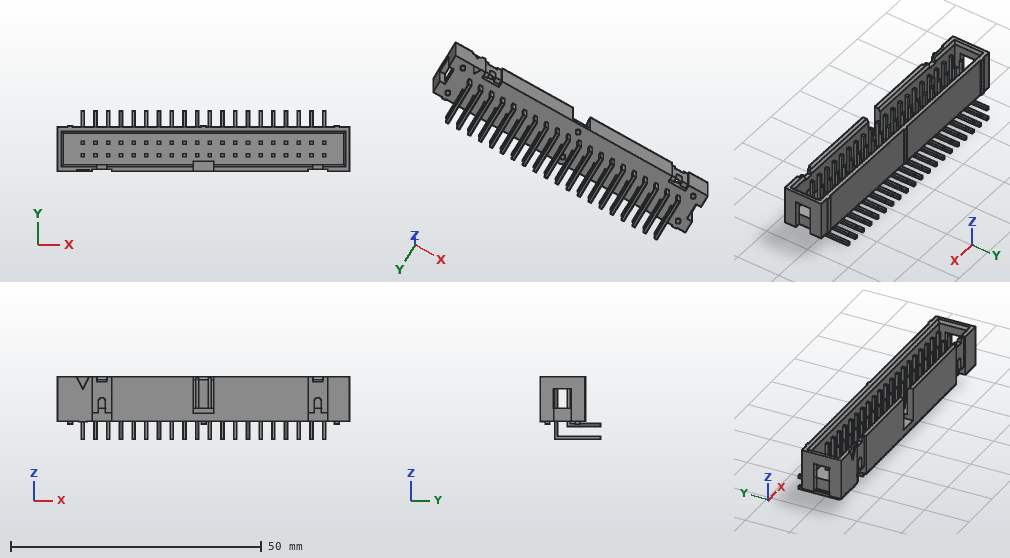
import cadquery as cq
import math


housing_length = 58.4
housing_width = 8.9
housing_height = 8.95
total_width = 12.1
total_height = 12.52

pitch = 2.54
column_count = 20
pin_size = 0.64
pin_top = 8.7

side_wall = 1.35
end_wall = 1.2
floor_height = 2.65
rim_chamfer_width = 0.45
rim_chamfer_depth = 0.65

key_width = 4.0
key_bottom = 1.6
key_depth = 2.0

pocket_centres = [-8 * pitch, 9 * pitch]
pocket_width = 3.9
pocket_depth = 0.4
pocket_undercut_height = 1.75
rim_notch_width = 2.0
rim_notch_depth = 1.0
arch_width = 1.4
arch_top = 4.75

window_width = 3.5
window_top = 6.5

peg_diameter = 1.0
peg_height = 0.55
peg_x = 26.65
peg_y = 3.0
rib_width = 1.0
rib_depth = 0.2

mark_width = 2.5
mark_height = 2.5
mark_depth = 0.3
under_mark_width = 1.7
under_mark_height = 0.1

front_y = -housing_width / 2
back_y = housing_width / 2
first_pin_x = -(column_count - 1) * pitch / 2
tail_end_y = front_y + total_width
lowest_tail_z = housing_height - total_height


def block(x_range, y_range, z_range):
    """Axis-aligned box given by its lower and upper limits."""
    x0, x1 = x_range
    y0, y1 = y_range
    z0, z1 = z_range
    return cq.Workplane("XY").box(x1 - x0, y1 - y0, z1 - z0, centered=False).translate((x0, y0, z0))


def centred(middle, width):
    """Lower and upper limits of a width about its middle."""
    return middle - width / 2, middle + width / 2


def cavity():
    """Open-topped shroud interior with a bevelled rim."""
    length = housing_length - 2 * end_wall
    width = housing_width - 2 * side_wall
    well = block(centred(0, length), centred(0, width), (floor_height, housing_height))
    bevel = (
        cq.Workplane("XY", origin=(0, 0, housing_height - rim_chamfer_depth))
        .rect(length, width)
        .workplane(offset=rim_chamfer_depth)
        .rect(length + 2 * rim_chamfer_width, width + 2 * rim_chamfer_width)
        .loft(ruled=True)
    )
    return well.union(bevel)


def key_slot():
    """Keyway through the front wall, sunk below the cavity floor."""
    return block(centred(0, key_width), (front_y, front_y + key_depth), (key_bottom, housing_height))


def latch_pocket(x):
    """Shallow face pocket with a rim notch, an arched opening and an undercut."""
    wall = (front_y, front_y + side_wall)
    face = block(centred(x, pocket_width), (front_y, front_y + pocket_depth), (0, housing_height))
    notch_range = (housing_height - rim_notch_depth, housing_height)
    notch = block(centred(x, rim_notch_width), wall, notch_range)
    undercut = block(centred(x, pocket_width), wall, (0, pocket_undercut_height))
    radius = arch_width / 2
    spring = arch_top - radius
    arch = (
        cq.Workplane("XZ", origin=(x, front_y, 0))
        .moveTo(-radius, 0)
        .lineTo(-radius, spring)
        .threePointArc((0, arch_top), (radius, spring))
        .lineTo(radius, 0)
        .close()
        .extrude(-side_wall)
    )
    return face.union(notch).union(undercut).union(arch)


def end_window(side):
    """Slot up one end wall, opening into the cavity above its floor."""
    outer = side * housing_length / 2
    inner = outer - side * end_wall
    return block(sorted((outer, inner)), centred(0, window_width), (0, window_top))


def first_contact_groove():
    """Engraved triangle on the front face, pointing down at the first contact."""
    return (
        cq.Workplane("XZ", origin=(first_pin_x, front_y, housing_height))
        .polyline([(-mark_width / 2, 0), (mark_width / 2, 0), (0, -mark_height)])
        .close()
        .extrude(-mark_depth)
    )


def underside_mark():
    """Thin raised triangle under the front edge at the first contact."""
    half = under_mark_width / 2
    return (
        cq.Workplane("XY", origin=(first_pin_x, front_y, 0))
        .polyline([(-half, 0), (half, 0), (0, half * math.sqrt(3))])
        .close()
        .extrude(-under_mark_height)
    )


def back_rib(x):
    """Low full-height rib on the back face."""
    return block(centred(x, rib_width), (back_y, back_y + rib_depth), (0, housing_height))


def peg(x, y):
    """Round standoff under the housing."""
    return cq.Workplane("XY").center(x, y).circle(peg_diameter / 2).extrude(-peg_height)


def contact(x, y, tail_bottom):
    """Square pin bent once: a vertical post and a tail running to the back."""
    post_front = y - pin_size / 2
    post_back = y + pin_size / 2
    tail_top = tail_bottom + pin_size
    return (
        cq.Workplane("YZ", origin=(x - pin_size / 2, 0, 0))
        .moveTo(post_front, tail_bottom)
        .lineTo(tail_end_y, tail_bottom)
        .lineTo(tail_end_y, tail_top)
        .lineTo(post_back, tail_top)
        .lineTo(post_back, pin_top)
        .lineTo(post_front, pin_top)
        .close()
        .extrude(pin_size)
    )


def housing():
    """Plastic shroud with all its cut-outs, pegs, ribs and marks."""
    body = block(centred(0, housing_length), (front_y, back_y), (0, housing_height))
    body = body.cut(cavity()).cut(key_slot()).cut(first_contact_groove())
    for x in pocket_centres:
        body = body.cut(latch_pocket(x))
    for side in (-1, 1):
        body = body.cut(end_window(side))
    for x in (-peg_x, 0, peg_x):
        body = body.union(back_rib(x))
        for y in (-peg_y, peg_y):
            body = body.union(peg(x, y))
    return body.union(underside_mark())


result = housing()
for column in range(column_count):
    pin_x = first_pin_x + column * pitch
    result = result.union(contact(pin_x, -pitch / 2, lowest_tail_z))
    result = result.union(contact(pin_x, pitch / 2, lowest_tail_z + pitch))